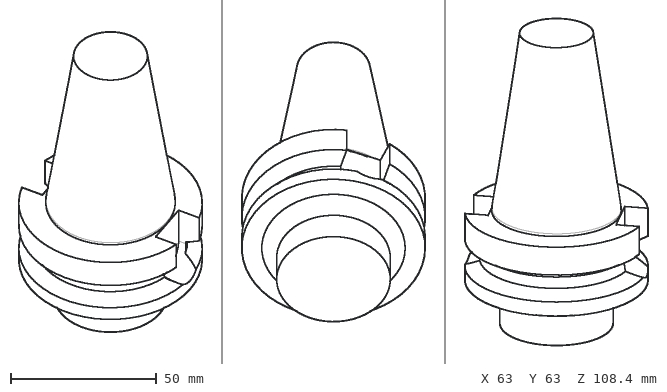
import cadquery as cq

total_height = 108.4
gauge_diameter = 44.4
taper_ratio = 7 / 24
taper_length = 65.4

flange_diameter = 63.0
flange_bottom = 16.2
flange_top = 42.0
groove_diameter = 52.9
groove_low_edge = 21.5
groove_low_floor = 24.4
groove_high_floor = 28.6
groove_high_edge = 31.5

nose_diameter = 39.0
nose_height = 11.1
nose_cone_diameter = 49.2

slot_width = 16.0
slot_floor_distance = 22.3
slot_bottom = 20.0


def turned_body():
    gauge_height = total_height - taper_length
    small_diameter = gauge_diameter - taper_length * taper_ratio
    steps = [
        (nose_diameter, 0),
        (nose_diameter, nose_height),
        (nose_cone_diameter, flange_bottom),
        (flange_diameter, flange_bottom),
        (flange_diameter, groove_low_edge),
        (groove_diameter, groove_low_floor),
        (groove_diameter, groove_high_floor),
        (flange_diameter, groove_high_edge),
        (flange_diameter, flange_top),
        (gauge_diameter, flange_top),
        (gauge_diameter, gauge_height),
        (small_diameter, total_height),
    ]
    outline = [(0, 0)]
    outline += [(diameter / 2, height) for diameter, height in steps]
    outline += [(0, total_height)]
    return cq.Workplane("XZ").polyline(outline).close().revolve(360, (0, 0), (0, 1))


def drive_slot(side):
    """Round-bottomed slot, open upward and outward; side is -1 or +1."""
    radius = slot_width / 2
    centre_height = slot_bottom + radius
    return (
        cq.Workplane("YZ", origin=(side * slot_floor_distance, 0, 0))
        .moveTo(-radius, flange_top)
        .lineTo(-radius, centre_height)
        .threePointArc((0, slot_bottom), (radius, centre_height))
        .lineTo(radius, flange_top)
        .close()
        .extrude(side * flange_diameter / 2)
    )


result = turned_body()
for side in (-1, 1):
    result = result.cut(drive_slot(side))